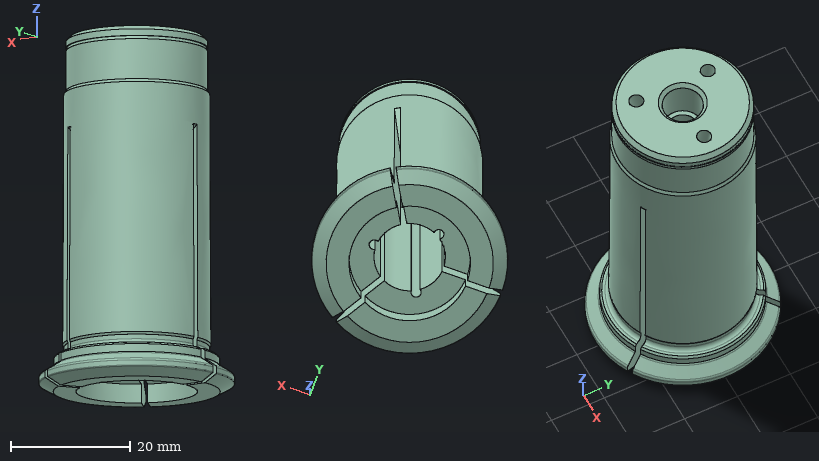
import cadquery as cq

HEIGHT = 60.5
FLANGE_RADIUS = 33.0 / 2
FLANGE_BOTTOM_RADIUS = 14.05
FLANGE_RIM_BOTTOM = 1.45
FLANGE_UNDERSIDE_RADIUS = 16.4
FLANGE_UNDERSIDE_TOP = 1.3
FLANGE_RIM_TOP = 2.3
FLANGE_BEVEL_START = 2.7
FLANGE_BEVEL_TOP = 4.0
FLANGE_BEVEL_RADIUS = 16.2
FLANGE_BEVEL_INNER_RADIUS = 14.2
COLLAR_RADIUS = 14.0
COLLAR_BOTTOM = 4.25
COLLAR_TOP = 5.9
COLLAR_CHAMFER = 0.35

BODY_BASE_RADIUS = 25.0 / 2
BODY_TOP_RADIUS = 24.6 / 2
BODY_BASE = 7.9
BODY_TOP = 50.7
RELIEF_RADIUS = 12.3
RELIEF_FILLET = 0.8
RELIEF_TOP = 7.5

HEAD_RADIUS = 23.9 / 2
HEAD_BASE = 51.25
TOP_FACE_RADIUS = 22.4 / 2
HEAD_CHAMFER = HEAD_RADIUS - TOP_FACE_RADIUS
NOTCH_BASE = 58.1
NOTCH_TOP = 58.6
NOTCH_DEPTH = 0.2

MOUTH_DIAMETER = 20.4
MOUTH_DEPTH = 3.2
BORE_DIAMETER = 12.0
BORE_TOP = 45.4
THROAT_DIAMETER = 5.2
SOCKET_DIAMETER = 6.9
SOCKET_DEPTH = 7.25
SOCKET_RIM_DIAMETER = 8.2

CHANNEL_COUNT = 3
CHANNEL_DIAMETER = 2.5
CHANNEL_TOP_RADIUS = 7.8
CHANNEL_BEND_HEIGHT = 53.25
GROOVE_DIAMETER = 1.7
GROOVE_CENTER_RADIUS = 6.35

SLOT_WIDTH = 1.0
SLOT_TOP = 44.35
SLOT_RUNOUT_BASE = 38.55
SLOT_FIRST_ANGLE = 180.0
SPACING = 360.0 / CHANNEL_COUNT
CUT_MARGIN = 0.6


def make_body():
    """Revolve the outer profile, listed from the bottom to the top."""
    profile = (
        cq.Workplane("XZ")
        .moveTo(0, 0)
        .lineTo(FLANGE_BOTTOM_RADIUS, 0)
        .lineTo(FLANGE_UNDERSIDE_RADIUS, FLANGE_UNDERSIDE_TOP)
        .tangentArcPoint((FLANGE_RADIUS, FLANGE_RIM_BOTTOM), relative=False)
        .lineTo(FLANGE_RADIUS, FLANGE_RIM_TOP)
        .tangentArcPoint((FLANGE_BEVEL_RADIUS, FLANGE_BEVEL_START), relative=False)
        .lineTo(FLANGE_BEVEL_INNER_RADIUS, FLANGE_BEVEL_TOP)
        .tangentArcPoint((COLLAR_RADIUS, COLLAR_BOTTOM), relative=False)
        .lineTo(COLLAR_RADIUS, COLLAR_TOP - COLLAR_CHAMFER)
        .lineTo(COLLAR_RADIUS - COLLAR_CHAMFER, COLLAR_TOP)
        .lineTo(RELIEF_RADIUS + RELIEF_FILLET, COLLAR_TOP)
        .tangentArcPoint((RELIEF_RADIUS, COLLAR_TOP + RELIEF_FILLET), relative=False)
        .lineTo(RELIEF_RADIUS, RELIEF_TOP)
        .lineTo(BODY_BASE_RADIUS, BODY_BASE)
        .lineTo(BODY_TOP_RADIUS, BODY_TOP)
        .lineTo(HEAD_RADIUS, HEAD_BASE)
        .lineTo(HEAD_RADIUS, NOTCH_BASE)
        .lineTo(HEAD_RADIUS - NOTCH_DEPTH, NOTCH_TOP)
        .lineTo(HEAD_RADIUS, NOTCH_TOP)
        .lineTo(HEAD_RADIUS, HEIGHT - HEAD_CHAMFER)
        .lineTo(TOP_FACE_RADIUS, HEIGHT)
        .lineTo(0, HEIGHT)
        .close()
    )
    return profile.revolve(360, (0, 0, 0), (0, 1, 0))


def make_bore():
    """Revolve the stepped central opening."""
    rim_chamfer = (SOCKET_RIM_DIAMETER - SOCKET_DIAMETER) / 2
    profile = (
        cq.Workplane("XZ")
        .moveTo(0, 0)
        .lineTo(MOUTH_DIAMETER / 2, 0)
        .lineTo(MOUTH_DIAMETER / 2, MOUTH_DEPTH)
        .lineTo(BORE_DIAMETER / 2, MOUTH_DEPTH)
        .lineTo(BORE_DIAMETER / 2, BORE_TOP)
        .lineTo(THROAT_DIAMETER / 2, BORE_TOP)
        .lineTo(THROAT_DIAMETER / 2, HEIGHT - SOCKET_DEPTH)
        .lineTo(SOCKET_DIAMETER / 2, HEIGHT - SOCKET_DEPTH)
        .lineTo(SOCKET_DIAMETER / 2, HEIGHT - rim_chamfer)
        .lineTo(SOCKET_RIM_DIAMETER / 2, HEIGHT)
        .lineTo(0, HEIGHT)
        .close()
    )
    return profile.revolve(360, (0, 0, 0), (0, 1, 0))


def make_channel():
    """Inclined hole from the top face, then a vertical passage down the bore wall."""
    groove = (
        cq.Workplane("XY")
        .center(GROOVE_CENTER_RADIUS, 0)
        .circle(GROOVE_DIAMETER / 2)
        .extrude(CHANNEL_BEND_HEIGHT)
    )
    groove_end = cq.Vector(GROOVE_CENTER_RADIUS, 0, CHANNEL_BEND_HEIGHT)
    entry = cq.Vector(CHANNEL_TOP_RADIUS, 0, HEIGHT)
    path = entry - groove_end
    direction = path.normalized()
    hole = cq.Solid.makeCylinder(
        CHANNEL_DIAMETER / 2,
        path.Length + 2 * CUT_MARGIN,
        groove_end - direction * CUT_MARGIN,
        direction,
    )
    return groove.union(cq.Workplane(hole))


def make_slot():
    """Radial slot along +X whose floor slopes out to the surface at its top."""
    bore_radius = BORE_DIAMETER / 2
    outer_radius = FLANGE_RADIUS + CUT_MARGIN
    return (
        cq.Workplane("XZ")
        .moveTo(0, 0)
        .lineTo(outer_radius, 0)
        .lineTo(outer_radius, SLOT_TOP)
        .lineTo(BODY_TOP_RADIUS, SLOT_TOP)
        .lineTo(bore_radius, SLOT_RUNOUT_BASE)
        .lineTo(0, SLOT_RUNOUT_BASE)
        .close()
        .extrude(SLOT_WIDTH / 2, both=True)
    )


result = make_body().cut(make_bore())
channel = make_channel()
slot = make_slot()
for index in range(CHANNEL_COUNT):
    turn = index * SPACING
    result = result.cut(channel.rotate((0, 0, 0), (0, 0, 1), turn))
    result = result.cut(slot.rotate((0, 0, 0), (0, 0, 1), SLOT_FIRST_ANGLE + turn))